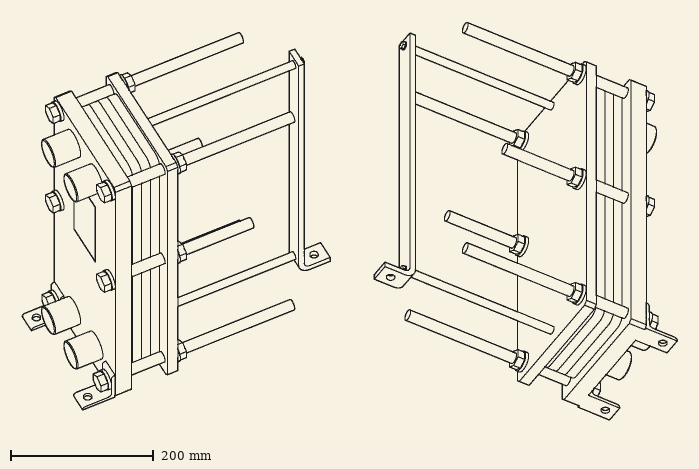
import cadquery as cq
import math


PLATE_WIDTH = 190.0
PLATE_HEIGHT = 473.0
CORNER_CHAMFER = 5.0
FRAME_THICKNESS = 25.0
PRESSURE_THICKNESS = 16.0

PACK_COUNT = 4
PACK_PLATE_THICKNESS = 14.0
PACK_WIDTH = 141.0
PACK_HEIGHT = 448.0
PACK_CORNER_RADIUS = 14.5
PACK_MID_Z = 241.5

PACK_START_Y = FRAME_THICKNESS
PRESSURE_FRONT_Y = PACK_START_Y + PACK_COUNT * PACK_PLATE_THICKNESS
PRESSURE_BACK_Y = PRESSURE_FRONT_Y + PRESSURE_THICKNESS

BOLT_SPACING_X = 158.5
BOLT_X = BOLT_SPACING_X / 2
BOLT_DIAMETER = 16.0
TOP_BOLT_Z = 455.5
MIDDLE_BOLT_Z = 252.0
BOTTOM_BOLT_Z = 28.5
LONG_BOLT_END_Y = 286.0
SHORT_BOLT_END_Y = 222.0
WASHER_DIAMETER = 30.0
WASHER_THICKNESS = 4.5
HEX_SIDES = 6
HEX_ACROSS_FLATS = 24.0
HEX_THICKNESS = 11.0

PORT_X = 34.5
PORT_OFFSET_Z = 190.0
PORT_DIAMETER = 42.5
PORT_LENGTH = 40.5
PORT_CHAMFER = 1.5

NAME_PLATE_WIDTH = 65.7
NAME_PLATE_HEIGHT = 124.0
NAME_PLATE_MID_Z = 301.0
NAME_PLATE_THICKNESS = 0.5

FOOT_WIDTH = 28.5
FOOT_THICKNESS = 5.5
FOOT_HEIGHT = 49.5
FOOT_LENGTH = 51.0
FOOT_BEND_RADIUS = 6.0
FOOT_EDGE_RADIUS = 4.5
FOOT_HOLE_Y = -36.0
FOOT_HOLE_DIAMETER = 12.0

COLUMN_WIDTH = 30.0
COLUMN_THICKNESS = 9.0
COLUMN_FRONT_Y = 329.0
COLUMN_BACK_Y = COLUMN_FRONT_Y + COLUMN_THICKNESS
COLUMN_FOOT_LENGTH = 49.5
COLUMN_BEND_RADIUS = 9.5
COLUMN_HOLE_Y = 361.0

GUIDE_BAR_DIAMETER = 12.0
TOP_GUIDE_BAR_Z = 459.8
BOTTOM_GUIDE_BAR_Z = 25.0
GUIDE_WASHER_THICKNESS = 1.5
GUIDE_HEX_ACROSS_FLATS = 10.0
GUIDE_HEX_THICKNESS = 4.0


def plane_facing_back(start_y):
    """XZ workplane at start_y that extrudes toward +Y; its local x points to -X."""
    return cq.Workplane(cq.Plane(origin=(0, start_y, 0), xDir=(-1, 0, 0), normal=(0, 1, 0)))


def cylinder(x, z, diameter, start_y, end_y):
    return plane_facing_back(start_y).center(-x, z).circle(diameter / 2).extrude(end_y - start_y)


def hexagon(x, z, across_flats, start_y, end_y):
    """Hexagonal prism along Y with a corner pointing up."""
    plane = plane_facing_back(start_y).center(-x, z).transformed(rotate=(0, 0, 180 / HEX_SIDES))
    across_corners = across_flats / math.cos(math.pi / HEX_SIDES)
    return plane.polygon(HEX_SIDES, across_corners).extrude(end_y - start_y)


def block(width, height, mid_z, start_y, end_y):
    return plane_facing_back(start_y).center(0, mid_z).rect(width, height).extrude(end_y - start_y)


def end_plate(start_y, end_y):
    plate = block(PLATE_WIDTH, PLATE_HEIGHT, PLATE_HEIGHT / 2, start_y, end_y)
    return plate.edges("|Y").chamfer(CORNER_CHAMFER)


def bolt_places():
    """X, Z and rear end of every tie bolt."""
    rows = [
        (TOP_BOLT_Z, LONG_BOLT_END_Y),
        (MIDDLE_BOLT_Z, SHORT_BOLT_END_Y),
        (BOTTOM_BOLT_Z, LONG_BOLT_END_Y),
    ]
    return [(x, z, end_y) for x in (-BOLT_X, BOLT_X) for z, end_y in rows]


def tie_bolt(x, z, end_y, seat_y):
    """Bolt with its head and washer in front of seat_y, and a washer and nut on the pressure plate."""
    front_washer_y = seat_y - WASHER_THICKNESS
    rear_washer_y = PRESSURE_BACK_Y + WASHER_THICKNESS
    shank = cylinder(x, z, BOLT_DIAMETER, seat_y, end_y)
    front_washer = cylinder(x, z, WASHER_DIAMETER, front_washer_y, seat_y)
    head = hexagon(x, z, HEX_ACROSS_FLATS, front_washer_y - HEX_THICKNESS, front_washer_y)
    rear_washer = cylinder(x, z, WASHER_DIAMETER, PRESSURE_BACK_Y, rear_washer_y)
    nut = hexagon(x, z, HEX_ACROSS_FLATS, rear_washer_y, rear_washer_y + HEX_THICKNESS)
    return shank.union(front_washer).union(head).union(rear_washer).union(nut)


def front_foot(x):
    """Angle bracket on the front face, with rounded free edges and a rounded inside corner."""
    outline = (
        cq.Workplane("YZ", origin=(x, 0, 0))
        .lineTo(-FOOT_LENGTH, 0)
        .lineTo(-FOOT_LENGTH, FOOT_THICKNESS - FOOT_EDGE_RADIUS)
        .radiusArc((-FOOT_LENGTH + FOOT_EDGE_RADIUS, FOOT_THICKNESS), FOOT_EDGE_RADIUS)
        .lineTo(-FOOT_THICKNESS - FOOT_BEND_RADIUS, FOOT_THICKNESS)
        .radiusArc((-FOOT_THICKNESS, FOOT_THICKNESS + FOOT_BEND_RADIUS), -FOOT_BEND_RADIUS)
        .lineTo(-FOOT_THICKNESS, FOOT_HEIGHT - FOOT_EDGE_RADIUS)
        .radiusArc((-FOOT_THICKNESS + FOOT_EDGE_RADIUS, FOOT_HEIGHT), FOOT_EDGE_RADIUS)
        .lineTo(0, FOOT_HEIGHT)
        .close()
    )
    bracket = outline.extrude(FOOT_WIDTH / 2, both=True)
    hole = (
        cq.Workplane("XY", origin=(x, FOOT_HOLE_Y, 0))
        .circle(FOOT_HOLE_DIAMETER / 2)
        .extrude(FOOT_THICKNESS)
    )
    return bracket.cut(hole)


def port(x, z):
    tube = cylinder(x, z, PORT_DIAMETER, -PORT_LENGTH, 0)
    return tube.faces("<Y").edges().chamfer(PORT_CHAMFER)


def build_frame():
    """Front plate with its ports, name plate, feet and tie bolts."""
    body = end_plate(0, FRAME_THICKNESS)
    body = body.union(
        block(NAME_PLATE_WIDTH, NAME_PLATE_HEIGHT, NAME_PLATE_MID_Z, -NAME_PLATE_THICKNESS, 0)
    )
    for x in (-PORT_X, PORT_X):
        for z in (PACK_MID_Z - PORT_OFFSET_Z, PACK_MID_Z + PORT_OFFSET_Z):
            body = body.union(port(x, z))
    for x in (-BOLT_X, BOLT_X):
        body = body.union(front_foot(x))
    for x, z, end_y in bolt_places():
        seat_y = -FOOT_THICKNESS if z == BOTTOM_BOLT_Z else 0
        body = body.union(tie_bolt(x, z, end_y, seat_y))
    return body


def build_pack_plate(index):
    start_y = PACK_START_Y + index * PACK_PLATE_THICKNESS
    plate = block(PACK_WIDTH, PACK_HEIGHT, PACK_MID_Z, start_y, start_y + PACK_PLATE_THICKNESS)
    return plate.edges("|Y").fillet(PACK_CORNER_RADIUS)


def build_pressure_plate():
    """Rear plate with a clearance-free hole for every tie bolt."""
    plate = end_plate(PRESSURE_FRONT_Y, PRESSURE_BACK_Y)
    for x, z, _ in bolt_places():
        plate = plate.cut(cylinder(x, z, BOLT_DIAMETER, PRESSURE_FRONT_Y, PRESSURE_BACK_Y))
    return plate


def guide_bar(z):
    """Bar from the pressure plate to the column, with a washer and hexagon behind the column."""
    washer_back_y = COLUMN_BACK_Y + GUIDE_WASHER_THICKNESS
    bar = cylinder(0, z, GUIDE_BAR_DIAMETER, PRESSURE_BACK_Y, washer_back_y)
    hex_back_y = washer_back_y + GUIDE_HEX_THICKNESS
    return bar.union(hexagon(0, z, GUIDE_HEX_ACROSS_FLATS, washer_back_y, hex_back_y))


def build_support():
    """Bent column with its foot, joined to both guide bars."""
    outer_radius = COLUMN_BEND_RADIUS + COLUMN_THICKNESS
    foot_end_y = COLUMN_FRONT_Y + COLUMN_FOOT_LENGTH
    body = (
        cq.Workplane("YZ")
        .moveTo(COLUMN_FRONT_Y, PLATE_HEIGHT)
        .lineTo(COLUMN_FRONT_Y, outer_radius)
        .radiusArc((COLUMN_FRONT_Y + outer_radius, 0), -outer_radius)
        .lineTo(foot_end_y, 0)
        .lineTo(foot_end_y, COLUMN_THICKNESS)
        .lineTo(COLUMN_FRONT_Y + outer_radius, COLUMN_THICKNESS)
        .radiusArc((COLUMN_BACK_Y, outer_radius), COLUMN_BEND_RADIUS)
        .lineTo(COLUMN_BACK_Y, PLATE_HEIGHT)
        .close()
        .extrude(COLUMN_WIDTH / 2, both=True)
    )
    hole = (
        cq.Workplane("XY", origin=(0, COLUMN_HOLE_Y, 0))
        .circle(FOOT_HOLE_DIAMETER / 2)
        .extrude(COLUMN_THICKNESS)
    )
    body = body.cut(hole)
    for z in (BOTTOM_GUIDE_BAR_Z, TOP_GUIDE_BAR_Z):
        body = body.union(guide_bar(z))
    return body


frame = build_frame()
pack_plates = [build_pack_plate(index) for index in range(PACK_COUNT)]
pressure_plate = build_pressure_plate()
support = build_support()

result = cq.Compound.makeCompound(
    [
        frame.val(),
        *[plate.val() for plate in pack_plates],
        pressure_plate.val(),
        support.val(),
    ]
)